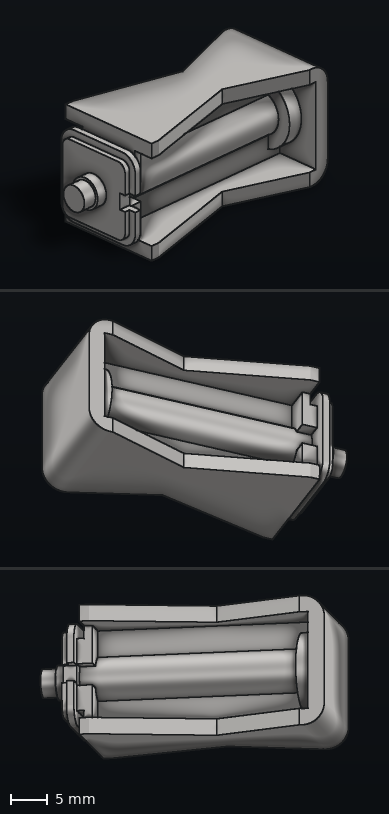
import cadquery as cq


overall_length = 40.7
bracket_width = 16.5
bracket_height = 18.0
bracket_length = 34.03

wall = 2.28
bend_radius = 3.0
waist_width = 7.55
waist_y = 18.15
front_straight = 1.4
back_straight = 3.5
web_thickness = 2.7
block_width = 10.0
block_length = 1.2
neck_length = 0.98
slot_height = 3.0

shaft_diameter = 6.67
collar_diameter = 10.9
collar_length = 2.28
tip_diameter = 4.0

flange_size = 14.15
flange_thickness = 1.0
flange_corner_radius = 2.45
pad_size = 11.95
pad_thickness = 0.85
boss_diameter = 4.8
boss_length = 1.65
notch_height = 2.52

inner_height = bracket_height - 2 * wall
back_wall_y = bracket_length - wall
collar_front_y = back_wall_y - collar_length
neck_front_y = -neck_length
flange_front_y = neck_front_y - flange_thickness
pad_front_y = flange_front_y - pad_thickness
boss_front_y = pad_front_y - boss_length
tip_front_y = bracket_length - overall_length
pad_corner_radius = flange_corner_radius - (flange_size - pad_size) / 2
notch_floor_x = block_width / 2
notch_depth = flange_size / 2 - notch_floor_x


def bar(size_x, size_z, y_front, y_back):
    """Rectangular bar centred on the Y axis."""
    return cq.Workplane("XZ", origin=(0, y_back, 0)).rect(size_x, size_z).extrude(y_back - y_front)


def rod(diameter, y_front, y_back):
    """Round bar centred on the Y axis."""
    return cq.Workplane("XZ", origin=(0, y_back, 0)).circle(diameter / 2).extrude(y_back - y_front)


def rounded_plate(size, corner_radius, y_front, y_back):
    """Square plate with rounded corners, centred on the Y axis."""
    return bar(size, size, y_front, y_back).edges("|Y").fillet(corner_radius)


def make_waisted_u():
    """U-shaped strap whose sides taper in to a waist and out again."""
    strap = bar(bracket_width, bracket_height, 0, bracket_length)
    strap = strap.edges(">Y and |X").fillet(bend_radius)
    strap = strap.cut(bar(bracket_width, inner_height, 0, back_wall_y))

    half_width = bracket_width / 2
    right_side = [
        (half_width, 0),
        (half_width, front_straight),
        (waist_width / 2, waist_y),
        (half_width, bracket_length - back_straight),
        (half_width, bracket_length),
    ]
    left_side = [(-x, y) for x, y in reversed(right_side)]
    plan = cq.Workplane("XY").polyline(right_side + left_side).close()
    return strap.intersect(plan.extrude(bracket_height / 2, both=True))


def make_shaft():
    """Collared shaft whose thinner tip passes through the cover."""
    collar = rod(collar_diameter, collar_front_y, back_wall_y)
    main_length = rod(shaft_diameter, neck_front_y, back_wall_y)
    tip = rod(tip_diameter, tip_front_y, neck_front_y)
    return main_length.union(collar).union(tip)


def make_bracket(shaft):
    """Waisted U with web, block and neck, slotted from side to side and bored for the shaft."""
    web = bar(web_thickness, inner_height, 0, back_wall_y)
    block = bar(block_width, inner_height, 0, block_length)
    neck = bar(block_width, block_width, neck_front_y, 0)
    slot = bar(block_width, slot_height, neck_front_y, block_length)
    body = make_waisted_u().union(web).union(block).union(neck)
    return body.cut(slot).cut(shaft)


def make_cover(shaft):
    """Flange, pad and boss, notched on the +X side and bored for the shaft tip."""
    flange = rounded_plate(flange_size, flange_corner_radius, flange_front_y, neck_front_y)
    pad = rounded_plate(pad_size, pad_corner_radius, pad_front_y, flange_front_y)
    boss = rod(boss_diameter, boss_front_y, pad_front_y)
    notch = bar(notch_depth, notch_height, pad_front_y, neck_front_y)
    notch = notch.translate((notch_floor_x + notch_depth / 2, 0, 0))
    return flange.union(pad).union(boss).cut(notch).cut(shaft)


shaft = make_shaft()
bracket = make_bracket(shaft)
cover = make_cover(shaft)

result = cq.Compound.makeCompound([bracket.val(), shaft.val(), cover.val()])